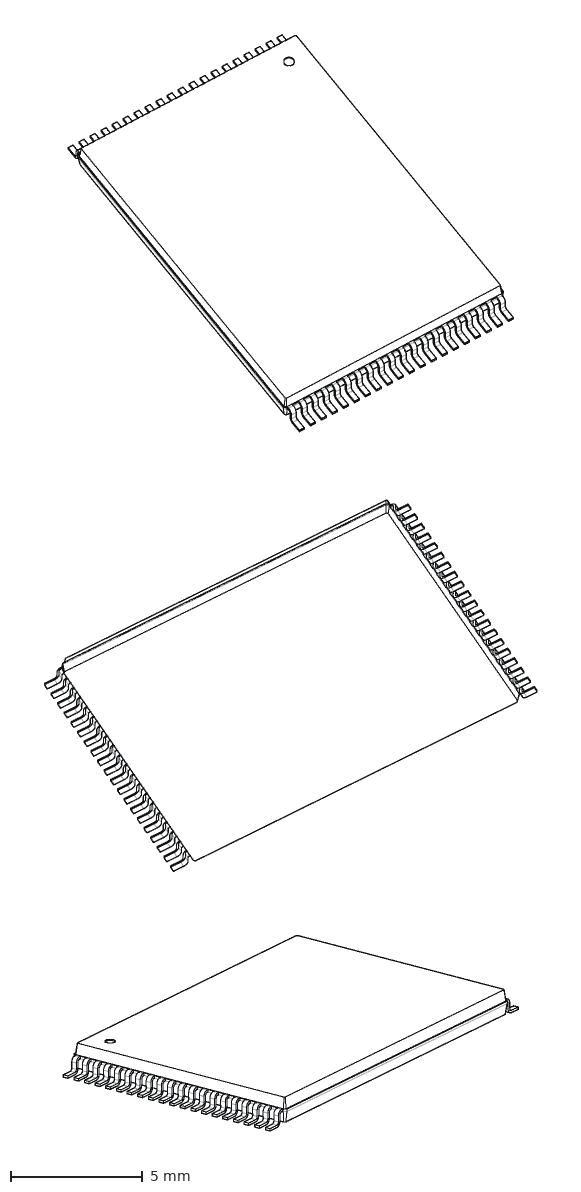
import cadquery as cq
import math

overall_length = 16.0
overall_height = 1.1
body_length = 14.4
body_width = 10.0
standoff = 0.1

band_height = 0.1
band_middle = (standoff + overall_height) / 2
band_top = band_middle + band_height / 2
band_bottom = band_middle - band_height / 2
corner_chamfer = 0.1
ledge_width = 0.045
taper_inset = 0.07
half_height = overall_height - band_top
taper_angle = math.degrees(math.atan(taper_inset / half_height))

leads_per_side = 20
lead_pitch = 0.5
lead_width = 0.22
lead_thickness = band_height
foot_length = 0.55
bend_inner_radius = 0.1
bend_outer_radius = bend_inner_radius + lead_thickness
lead_embed = 0.3

mark_diameter = 0.4
mark_depth = 0.05
mark_edge_distance = 1.02


def body_section(z, inset=0):
    """Corner-chamfered rectangle at height z, set back from the band outline on all sides."""
    half_length = body_length / 2 - inset
    half_width = body_width / 2 - inset
    chamfer = corner_chamfer - inset * (2 - math.sqrt(2))
    short_length = half_length - chamfer
    short_width = half_width - chamfer
    return (
        cq.Workplane("XY", origin=(0, 0, z))
        .moveTo(-short_length, -half_width)
        .lineTo(short_length, -half_width)
        .lineTo(half_length, -short_width)
        .lineTo(half_length, short_width)
        .lineTo(short_length, half_width)
        .lineTo(-short_length, half_width)
        .lineTo(-half_length, short_width)
        .lineTo(-half_length, -short_width)
        .close()
    )


def make_body():
    """Band with tapered halves above and below; the upper one is set back to leave a small ledge."""
    band = body_section(band_bottom).extrude(band_height)
    upper = body_section(band_top, ledge_width).extrude(half_height, taper=taper_angle)
    lower = body_section(band_bottom).extrude(-half_height, taper=taper_angle)
    return band.union(upper).union(lower)


def make_left_lead(y):
    """Gull-wing lead on the -X side, centred on y, with its root inside the body."""
    tip = -overall_length / 2
    shank_outer = tip + foot_length
    shank_inner = shank_outer + lead_thickness
    root = -body_length / 2 + lead_embed
    profile = (
        cq.Workplane("XZ", origin=(0, y, 0))
        .moveTo(tip, 0)
        .lineTo(shank_inner - bend_outer_radius, 0)
        .radiusArc((shank_inner, bend_outer_radius), -bend_outer_radius)
        .lineTo(shank_inner, band_bottom - bend_inner_radius)
        .radiusArc((shank_inner + bend_inner_radius, band_bottom), bend_inner_radius)
        .lineTo(root, band_bottom)
        .lineTo(root, band_top)
        .lineTo(shank_outer + bend_outer_radius, band_top)
        .radiusArc((shank_outer, band_top - bend_outer_radius), -bend_outer_radius)
        .lineTo(shank_outer, lead_thickness + bend_inner_radius)
        .radiusArc((shank_outer - bend_inner_radius, lead_thickness), bend_inner_radius)
        .lineTo(tip, lead_thickness)
        .close()
    )
    return profile.extrude(lead_width / 2, both=True)


def add_leads(body):
    """Join a row of leads to the -X side and its mirror image to the +X side."""
    first_y = -(leads_per_side - 1) * lead_pitch / 2
    for index in range(leads_per_side):
        left_lead = make_left_lead(first_y + index * lead_pitch)
        body = body.union(left_lead).union(left_lead.mirror("YZ"))
    return body


def cut_pin_one_mark(package):
    """Sink the round mark near the -X, +Y corner of the top face."""
    mark_x = -body_length / 2 + mark_edge_distance
    mark_y = body_width / 2 - mark_edge_distance
    mark = (
        cq.Workplane("XY", origin=(mark_x, mark_y, overall_height - mark_depth))
        .circle(mark_diameter / 2)
        .extrude(mark_depth)
    )
    return package.cut(mark)


result = cut_pin_one_mark(add_leads(make_body()))